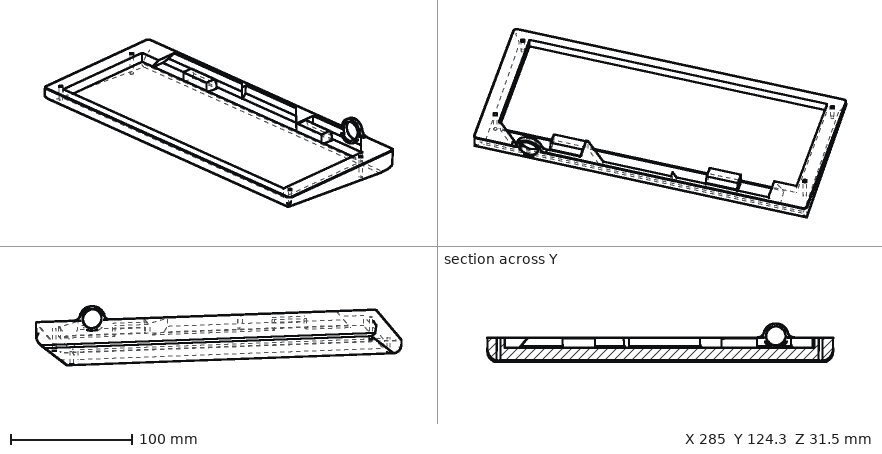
import cadquery as cq
import math


tilt = 4.2
length = 285.0
case_depth = 122.8
case_height = 25.6
front_foot_y = -0.5
front_foot_z = -11.7
corner_radius = 3.0
side_radius = 10.8
side_round_height = 9.7
front_radius = 7.0
back_radius = 10.0
back_step = 2.5
rim_chamfer = 0.43
slope = math.tan(math.radians(tilt))
rim_back_y = front_foot_y + case_depth / math.cos(math.radians(tilt)) - slope * front_foot_z

cut_depth = 28.5

inner_centre_x = -0.5
tray_half_length = 127.5
tray_front_y = 9.0
tray_back_y = 101.5
tray_floor_z = -8.3
pocket_back_y = 119.5
pocket_chamfer_y = 3.7
pocket_chamfer_top_z = -6.8
pocket_floor_z = -10.8

pocket_1_left_x = -109.0
pocket_1_undercut = 9.0
pocket_2_left_x = -25.6
pocket_2_right_x = 32.5
pocket_3_left_x = 52.2
pocket_3_right_x = 107.5
pillar_width = 4.5

block_back_y = 113.5
block_top_z = -0.9
block_chamfer_depth = 2.5
block_chamfer_drop = 5.5
block_1_left_x = -80.5
block_1_length = 26.8
block_2_left_x = pocket_3_left_x
block_2_length = 27.6

ring_x = 95.2
ring_z = 1.0
ring_outer_radius = 10.3
ring_inner_radius = 8.0
ring_thickness = 3.7
ring_lip = 2.0
ring_lip_top_z = -3.5
ring_foot_radius = 10.0 / 2

hole_diameter = 2.8
hole_x = 132.5
hole_front_y = 11.5
hole_back_y = 94.3


def along_x(outline, left_x, right_x):
    """Prism of a closed (Y, Z) outline between two X positions."""
    return cq.Workplane("YZ", origin=(left_x, 0, 0)).polyline(outline).close().extrude(right_x - left_x)


def arc_point(centre, radius, angle):
    """Point at an angle in degrees on a circle in a (horizontal, vertical) plane."""
    turn = math.radians(angle)
    return centre[0] + radius * math.cos(turn), centre[1] + radius * math.sin(turn)


def rounded_plan():
    return (
        cq.Workplane("XY")
        .center(0, case_depth / 2)
        .rect(length, case_depth)
        .extrude(case_height)
        .edges("|Z")
        .fillet(corner_radius)
    )


def side_profile():
    """Front rounding, flat bottom, small step and back rounding, along the whole length."""
    front_centre = (front_radius, front_radius)
    step_y = case_depth - back_radius
    back_centre = (step_y, back_step + back_radius)
    return (
        cq.Workplane("YZ", origin=(-length / 2, 0, 0))
        .moveTo(0, case_height)
        .lineTo(0, front_radius)
        .threePointArc(arc_point(front_centre, front_radius, 225), (front_radius, 0))
        .lineTo(step_y, 0)
        .lineTo(step_y, back_step)
        .threePointArc(arc_point(back_centre, back_radius, -45), (case_depth, back_step + back_radius))
        .lineTo(case_depth, case_height)
        .close()
        .extrude(length)
    )


def cross_section():
    """Upright walls with rounded bottom edges that meet the bottom at a slight angle."""
    half = length / 2
    end_angle = math.degrees(math.asin(side_round_height / side_radius))
    left_centre = (side_radius - half, side_round_height)
    right_centre = (half - side_radius, side_round_height)
    return (
        cq.Workplane("XZ")
        .moveTo(-half, case_height)
        .lineTo(-half, side_round_height)
        .threePointArc(
            arc_point(left_centre, side_radius, 180 + end_angle / 2),
            arc_point(left_centre, side_radius, 180 + end_angle),
        )
        .lineTo(*arc_point(right_centre, side_radius, -end_angle))
        .threePointArc(
            arc_point(right_centre, side_radius, -end_angle / 2),
            (half, side_round_height),
        )
        .lineTo(half, case_height)
        .close()
        .extrude(-case_depth)
    )


def case_body():
    body = rounded_plan().intersect(side_profile()).intersect(cross_section())
    body = body.rotate((0, 0, 0), (1, 0, 0), -tilt).translate((0, front_foot_y, front_foot_z))
    above_rim = cq.Workplane("XY").rect(2 * length, 2 * length).extrude(case_height)
    return body.cut(above_rim).faces(">Z").chamfer(rim_chamfer)


def tray():
    tray_depth = tray_back_y - tray_front_y
    return (
        cq.Workplane("XY")
        .center(inner_centre_x, (tray_front_y + tray_back_y) / 2)
        .rect(2 * tray_half_length, tray_depth)
        .extrude(tray_floor_z)
    )


def pockets():
    chamfer_foot_y = pocket_back_y - pocket_chamfer_y
    section = along_x(
        [
            (tray_back_y, 0),
            (tray_back_y, pocket_floor_z + slope * (chamfer_foot_y - tray_back_y)),
            (chamfer_foot_y, pocket_floor_z),
            (pocket_back_y + slope * pocket_chamfer_top_z, pocket_chamfer_top_z),
            (pocket_back_y, 0),
        ],
        -tray_half_length,
        tray_half_length,
    )
    run = pocket_back_y - tray_back_y
    pillar_tip_y = pocket_back_y - pillar_width
    first_and_second = [
        (pocket_1_left_x, tray_back_y),
        (pocket_1_left_x, pocket_back_y),
        (pocket_2_left_x - pillar_width, pocket_back_y),
        (pocket_2_left_x, pillar_tip_y),
        (pocket_2_left_x, pocket_back_y),
        (pocket_2_right_x, pocket_back_y),
        (pocket_2_right_x + run, tray_back_y),
    ]
    third = [
        (pocket_3_left_x, tray_back_y),
        (pocket_3_left_x, pocket_back_y),
        (pocket_3_right_x, pocket_back_y),
        (pocket_3_right_x + run, tray_back_y),
    ]
    plan = cq.Workplane("XY").polyline(first_and_second).close().extrude(-cut_depth)
    plan = plan.union(cq.Workplane("XY").polyline(third).close().extrude(-cut_depth))
    undercut = (
        cq.Workplane("XZ", origin=(pocket_1_left_x, pocket_back_y, 0))
        .lineTo(0, -cut_depth)
        .lineTo(pocket_1_undercut * cut_depth / pocket_floor_z, -cut_depth)
        .close()
        .extrude(run)
    )
    return section.intersect(plan.union(undercut))


def block(left_x, block_length):
    """Block at the front of a pocket, chamfered along its back."""
    outline = [
        (tray_back_y, pocket_floor_z),
        (tray_back_y, block_top_z),
        (block_back_y - block_chamfer_depth, block_top_z),
        (block_back_y, block_top_z - block_chamfer_drop),
        (block_back_y, pocket_floor_z),
    ]
    return along_x(outline, left_x, left_x + block_length)


def ring_workplane():
    """Workplane on the back wall, leaning with it, centred on the ring at rim height."""
    lean = math.radians(tilt)
    return cq.Workplane(
        cq.Plane(
            origin=(ring_x, rim_back_y, 0),
            xDir=(1, 0, 0),
            normal=(0, -math.cos(lean), math.sin(lean)),
        )
    )


def ring_disc(radius, thickness):
    return ring_workplane().center(0, ring_z).circle(radius).extrude(thickness)


def cable_ring():
    disc = ring_disc(ring_outer_radius, ring_thickness)
    lip = ring_disc(ring_outer_radius, ring_thickness + ring_lip)
    above_lip = cq.Workplane("XY", origin=(0, 0, ring_lip_top_z)).rect(2 * length, 2 * length).extrude(length)
    lip = lip.cut(above_lip)

    foot_span = math.sqrt((ring_outer_radius + ring_foot_radius) ** 2 - (ring_foot_radius - ring_z) ** 2)
    feet = (
        ring_workplane()
        .center(0, ring_foot_radius / 2)
        .rect(2 * foot_span, ring_foot_radius)
        .extrude(ring_thickness)
    )
    hollows = (
        ring_workplane()
        .pushPoints([(-foot_span, ring_foot_radius), (foot_span, ring_foot_radius)])
        .circle(ring_foot_radius)
        .extrude(ring_thickness)
    )
    return disc.union(feet.cut(hollows)).union(lip)


def screw_holes():
    centres = [
        (inner_centre_x + side * hole_x, y)
        for side in (-1, 1)
        for y in (hole_front_y, hole_back_y)
    ]
    return cq.Workplane("XY").pushPoints(centres).circle(hole_diameter / 2).extrude(-cut_depth)


result = (
    case_body()
    .cut(tray())
    .cut(pockets())
    .union(block(block_1_left_x, block_1_length))
    .union(block(block_2_left_x, block_2_length))
    .union(cable_ring())
    .cut(ring_disc(ring_inner_radius, ring_thickness + ring_lip))
    .cut(screw_holes())
)